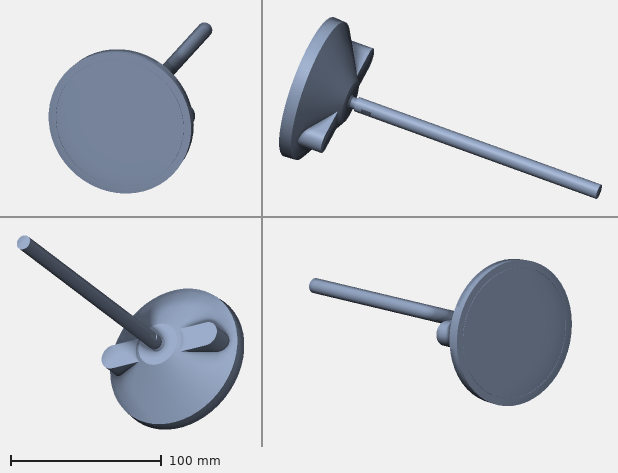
import cadquery as cq

total_length = 210.0

base_diameter = 98.0
rim_top_diameter = 97.0
rim_height = 8.5
cone_top_diameter = 29.5
foot_height = 29.8

groove_outer_diameter = 88.0
pad_diameter = 87.5
groove_depth = 0.5

lug_length = 88.0
lug_width = 16.8
lug_top = 28.0

ball_diameter = 12.5
ball_center = 26.2
neck_diameter = 7.8
stem_diameter = 10.0
stem_start = 34.9

flat_start = 40.0
flat_length = 7.1
across_flats = 8.5


def cylinder_along_y(diameter, start, end):
    plane = cq.Workplane("XZ", origin=(0, start, 0))
    return plane.circle(diameter / 2).extrude(start - end)


def make_foot():
    profile = [
        (0, 0),
        (base_diameter / 2, 0),
        (rim_top_diameter / 2, rim_height),
        (cone_top_diameter / 2, foot_height),
        (0, foot_height),
    ]
    return cq.Workplane("XY").polyline(profile).close().revolve(360, (0, 0), (0, 1))


def make_lugs():
    plane = cq.Workplane("XZ", origin=(0, rim_height, 0))
    return plane.slot2D(lug_length, lug_width).extrude(rim_height - lug_top)


def make_pad_groove():
    outer = cylinder_along_y(groove_outer_diameter, 0, groove_depth)
    return outer.cut(cylinder_along_y(pad_diameter, 0, groove_depth))


def make_stem():
    stem = cylinder_along_y(stem_diameter, stem_start, total_length)
    flat_zone = cylinder_along_y(stem_diameter, flat_start, flat_start + flat_length)
    kept_core = cq.Workplane("XY").box(across_flats, total_length, stem_diameter)
    kept_core = kept_core.translate((0, total_length / 2, 0))
    return stem.cut(flat_zone.cut(kept_core))


ball = cq.Workplane("XY").sphere(ball_diameter / 2).translate((0, ball_center, 0))
neck = cylinder_along_y(neck_diameter, ball_center, stem_start)

result = make_foot().union(make_lugs()).cut(make_pad_groove())
result = result.union(ball).union(neck).union(make_stem())